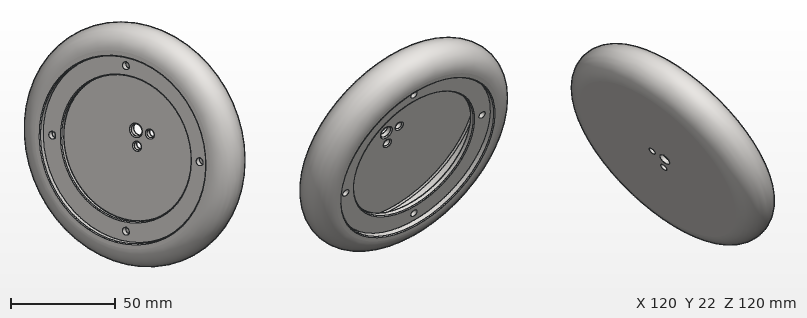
import cadquery as cq

outer_diameter = 120.0
width = 22.0
edge_chamfer = 0.5
front_y = -width / 2
outer_radius = outer_diameter / 2
flat_radius = outer_radius - width / 2

recess_diameter = 92.5
recess_depth = 3.0
bore_diameter = 72.5
plate_thickness = 3.0
bore_end_depth = recess_depth + plate_thickness
cavity_diameter = 101.5
cavity_floor_chamfer = 0.8
web_depth = width - plate_thickness

ledge_hole_diameter = 3.8
ledge_hole_circle_radius = 41.3
ledge_hole_count = 4

web_chamfer = 0.6
large_hole_diameter = 6.0
large_hole_position = (-4.2, 4.2)
small_hole_diameter = 3.8
small_hole_positions = [(3.6, 3.6), (-3.6, -3.6)]


def cylinder(diameter, depth_from, depth_to, position=(0, 0)):
    """Cylinder along Y between two depths below the front face."""
    x, z = position
    start = cq.Vector(x, front_y + depth_from, z)
    return cq.Workplane(
        obj=cq.Solid.makeCylinder(diameter / 2, depth_to - depth_from, start, cq.Vector(0, 1, 0))
    )


def countersink(diameter, depth, chamfer, position=(0, 0)):
    """Cone that breaks the mouth of a hole at 45 degrees."""
    x, z = position
    start = cq.Vector(x, front_y + depth, z)
    radius = diameter / 2
    return cq.Workplane(
        obj=cq.Solid.makeCone(radius + chamfer, radius, chamfer, start, cq.Vector(0, 1, 0))
    )


def flared_end(diameter, depth, chamfer):
    """Cone that breaks the far end of a central bore at 45 degrees."""
    return countersink(diameter, depth, chamfer).mirror("XZ", (0, front_y + depth, 0))


def chamfered_hole(body, diameter, depth_from, depth_to, chamfer, position=(0, 0)):
    body = body.cut(cylinder(diameter, depth_from, depth_to, position))
    return body.cut(countersink(diameter, depth_from, chamfer, position))


def make_tyre():
    return (
        cq.Workplane("XY")
        .moveTo(0, front_y)
        .lineTo(flat_radius, front_y)
        .threePointArc((outer_radius, 0), (flat_radius, -front_y))
        .lineTo(0, -front_y)
        .close()
        .revolve(360, (0, 0, 0), (0, 1, 0))
    )


result = make_tyre()
result = chamfered_hole(result, recess_diameter, 0, recess_depth, edge_chamfer)
result = chamfered_hole(result, bore_diameter, recess_depth, bore_end_depth, edge_chamfer)
result = result.cut(flared_end(bore_diameter, bore_end_depth, edge_chamfer))
cavity_wall_end = web_depth - cavity_floor_chamfer
result = result.cut(cylinder(cavity_diameter, bore_end_depth, cavity_wall_end))
cavity_floor_diameter = cavity_diameter - 2 * cavity_floor_chamfer
result = result.cut(countersink(cavity_floor_diameter, cavity_wall_end, cavity_floor_chamfer))

ledge_holes = (
    cq.Workplane("XZ", origin=(0, front_y + recess_depth, 0))
    .polarArray(ledge_hole_circle_radius, 0, 360, ledge_hole_count)
    .circle(ledge_hole_diameter / 2)
    .extrude(-plate_thickness)
)
result = result.cut(ledge_holes)

result = chamfered_hole(result, large_hole_diameter, web_depth, width, web_chamfer, large_hole_position)
for hole_position in small_hole_positions:
    result = chamfered_hole(result, small_hole_diameter, web_depth, width, web_chamfer, hole_position)